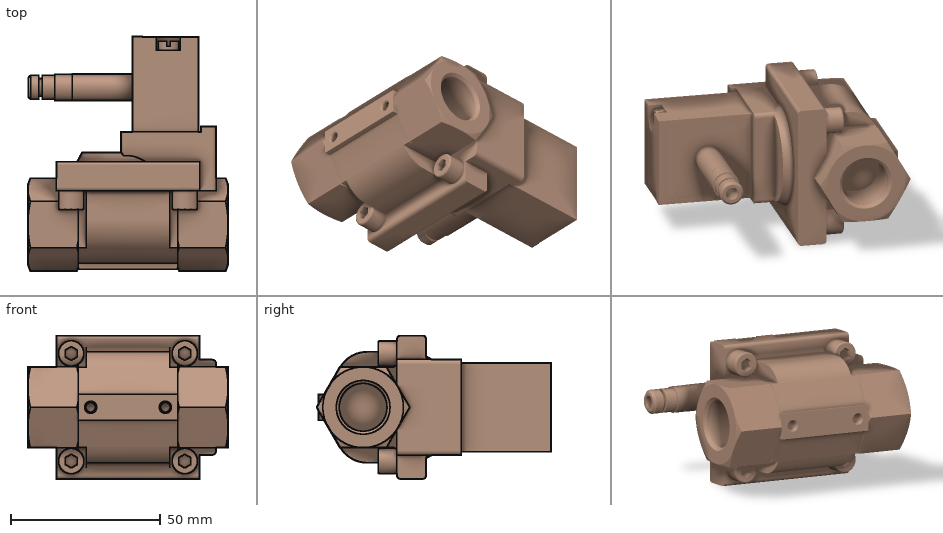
import cadquery as cq
import math


BODY_LENGTH = 67.0
HEX_FLATS = 27.0
HEX_INNER_X = 16.6
HEX_CHAMFER = 0.85
HEX_INNER_CHAMFER = 0.5
MIDDLE_FLATS = 26.7
BORE_DIAMETER = 16.0
BORE_MOUTH_DIAMETER = 18.0
BORE_DEPTH = 15.0

NECK_FILLET = 1.8
SADDLE_HALF_LENGTH = 14.05
SADDLE_RADIUS = 10.5
SADDLE_FILLET = 1.4

RIB_WIDTH = 8.7
RIB_FACE_Y = -15.0
RIB_HOLE_SPACING = 25.0
RIB_HOLE_DIAMETER = 3.24
RIB_HOLE_MOUTH_DIAMETER = 4.0
RIB_HOLE_DEPTH = 5.0
DRILL_POINT_ANGLE = 118.0

PLATE_SIZE = 48.0
PLATE_BOTTOM_Y = 11.3
PLATE_TOP_Y = 21.1
PLATE_FILLET = 1.2

SCREW_X = 19.0
SCREW_Z = 18.0
SCREW_HEAD_DIAMETER = 8.5
SCREW_HEAD_END_Y = 5.0
SCREW_HEAD_FILLET = 0.6
SCREW_SOCKET_FLATS = 4.0
SCREW_SOCKET_DEPTH = 3.0

DOME_TOP_Y = 24.2
DOME_BASE_RADIUS = 17.0
DOME_TOP_RADIUS = 15.4

BASE_LEFT_X = -2.4
BASE_RIGHT_X = 29.5
BASE_WIDTH = 32.0
BASE_TOP_Y = 31.0
BASE_FILLET = 1.5
LIP_LEFT_X = 24.4
LIP_TOP_Y = 32.9

CONNECTOR_LEFT_X = 1.5
CONNECTOR_RIGHT_X = 23.6
CONNECTOR_TOP_Y = 62.8
CONNECTOR_WIDTH = 29.8
END_PLATE_TOP_Y = 63.0
END_PLATE_THICKNESS = 3.3
PANEL_MARGIN = 1.4
PANEL_DEPTH = 0.1

NOTCH_X = 13.5
NOTCH_Z = 11.0
NOTCH_WIDTH = 8.0
NOTCH_DEPTH = 4.5
CAP_SCREW_DIAMETER = 6.8
CAP_SCREW_HEIGHT = 3.1
CAP_SCREW_SLOT_WIDTH = 1.2
CAP_SCREW_SLOT_DEPTH = 1.7

CABLE_Y = 45.95
CABLE_DIAMETER = 9.0
SLEEVE_RIGHT_X = -18.6
SLEEVE_LEFT_X = -24.5
SLEEVE_DIAMETER = 8.9
TIP_DIAMETER = 8.1
GROOVE_RIGHT_X = -28.7
GROOVE_LEFT_X = -29.8
GROOVE_DIAMETER = 6.0
TIP_LEFT_X = -33.4
TIP_CHAMFER = 0.8
CABLE_HOLE_DIAMETER = 4.3
CABLE_HOLE_DEPTH = 8.0

PLATE_MIDDLE_Y = (PLATE_BOTTOM_Y + PLATE_TOP_Y) / 2
MIDDLE_HALF_FLATS = MIDDLE_FLATS / 2
HEX_SIDES = 6
HEX_HALF_ANGLE = math.pi / HEX_SIDES
COS_45 = math.cos(math.pi / 4)


def block(x_range, y_range, width):
    """Box between two X and two Y values, centred on Z = 0."""
    length = x_range[1] - x_range[0]
    height = y_range[1] - y_range[0]
    return (
        cq.Workplane("XY")
        .box(length, height, width)
        .translate((x_range[0] + length / 2, y_range[0] + height / 2, 0))
    )


def along_y(x, y, z):
    """Sketch plane at a point, facing +Y."""
    return cq.Workplane(cq.Plane(origin=(x, y, z), xDir=(1, 0, 0), normal=(0, 1, 0)))


def pointed_hole(point, direction, diameter, depth):
    """Drilled hole with a conical bottom."""
    radius = diameter / 2
    cone_height = radius / math.tan(math.radians(DRILL_POINT_ANGLE / 2))
    start = cq.Vector(*point)
    axis = cq.Vector(*direction)
    shaft = cq.Solid.makeCylinder(radius, depth, start, axis)
    tip = cq.Solid.makeCone(radius, 0, cone_height, start + axis * depth, axis)
    return cq.Workplane(shaft.fuse(tip))


def hexagon(flats, x_start, x_end):
    """Hexagonal bar along X with corners on +Y and -Y."""
    corner_diameter = flats / math.cos(HEX_HALF_ANGLE)
    return (
        cq.Workplane("YZ", origin=(x_start, 0, 0))
        .polygon(HEX_SIDES, corner_diameter)
        .extrude(x_end - x_start)
    )


def hexagon_end():
    """End hexagon on the +X side, its corners turned off conically at both ends."""
    outer_x = BODY_LENGTH / 2
    flat_radius = HEX_FLATS / 2
    corner_radius = flat_radius / math.cos(HEX_HALF_ANGLE)
    chamfer_slope = (corner_radius - flat_radius) / HEX_CHAMFER
    inner_radius = corner_radius - HEX_INNER_CHAMFER * chamfer_slope
    envelope = (
        cq.Workplane("XY")
        .moveTo(HEX_INNER_X, 0)
        .lineTo(HEX_INNER_X, inner_radius)
        .lineTo(HEX_INNER_X + HEX_INNER_CHAMFER, corner_radius)
        .lineTo(outer_x - HEX_CHAMFER, corner_radius)
        .lineTo(outer_x, flat_radius)
        .lineTo(outer_x, 0)
        .close()
        .revolve(360, (0, 0, 0), (1, 0, 0))
    )
    return hexagon(HEX_FLATS, HEX_INNER_X, outer_x).intersect(envelope)


def port():
    """Blind bore with a 45 degree mouth on the +X side."""
    outer_x = BODY_LENGTH / 2
    bore_radius = BORE_DIAMETER / 2
    mouth_radius = BORE_MOUTH_DIAMETER / 2
    return (
        cq.Workplane("XY")
        .moveTo(outer_x, 0)
        .lineTo(outer_x, mouth_radius)
        .lineTo(outer_x - (mouth_radius - bore_radius), bore_radius)
        .lineTo(outer_x - BORE_DEPTH, bore_radius)
        .lineTo(outer_x - BORE_DEPTH, 0)
        .close()
        .revolve(360, (0, 0, 0), (1, 0, 0))
    )


def flared_top(profile, half_height, fillet):
    """Finish a profile: flare out into the plate, cross it and come back down the other side."""
    flare = fillet * (1 - COS_45)
    fillet_start_y = PLATE_BOTTOM_Y - fillet
    return (
        profile
        .lineTo(fillet_start_y, half_height)
        .threePointArc(
            (fillet_start_y + fillet * COS_45, half_height + flare),
            (PLATE_BOTTOM_Y, half_height + fillet),
        )
        .lineTo(PLATE_MIDDLE_Y, half_height + fillet)
        .lineTo(PLATE_MIDDLE_Y, -half_height - fillet)
        .lineTo(PLATE_BOTTOM_Y, -half_height - fillet)
        .threePointArc(
            (fillet_start_y + fillet * COS_45, -half_height - flare),
            (fillet_start_y, -half_height),
        )
    )


def neck():
    """Straight-sided web joining the middle hexagon to the plate."""
    profile = cq.Workplane("YZ", origin=(-HEX_INNER_X, 0, 0))
    profile = profile.moveTo(0, -MIDDLE_HALF_FLATS).lineTo(0, MIDDLE_HALF_FLATS)
    return flared_top(profile, MIDDLE_HALF_FLATS, NECK_FILLET).close().extrude(2 * HEX_INNER_X)


def saddle():
    """Wider round-shouldered web, its arcs tangent to the lower faces of the middle hexagon."""
    corner_y = -MIDDLE_HALF_FLATS * math.tan(HEX_HALF_ANGLE)
    arc_y = corner_y + SADDLE_RADIUS * math.cos(HEX_HALF_ANGLE)
    arc_z = MIDDLE_HALF_FLATS - SADDLE_RADIUS * math.sin(HEX_HALF_ANGLE)
    half_height = arc_z + SADDLE_RADIUS
    arc_mid_y = arc_y - SADDLE_RADIUS * math.sin(HEX_HALF_ANGLE)
    arc_mid_z = arc_z + SADDLE_RADIUS * math.cos(HEX_HALF_ANGLE)
    profile = (
        cq.Workplane("YZ", origin=(-SADDLE_HALF_LENGTH, 0, 0))
        .moveTo(corner_y, -MIDDLE_HALF_FLATS)
        .lineTo(corner_y, MIDDLE_HALF_FLATS)
        .threePointArc((arc_mid_y, arc_mid_z), (arc_y, half_height))
    )
    profile = flared_top(profile, half_height, SADDLE_FILLET)
    return (
        profile
        .lineTo(arc_y, -half_height)
        .threePointArc((arc_mid_y, -arc_mid_z), (corner_y, -MIDDLE_HALF_FLATS))
        .close()
        .extrude(2 * SADDLE_HALF_LENGTH)
    )


def rib_hole(x):
    """Countersunk pilot hole in the mounting rib."""
    sink_depth = (RIB_HOLE_MOUTH_DIAMETER - RIB_HOLE_DIAMETER) / 2
    sink = cq.Solid.makeCone(
        RIB_HOLE_MOUTH_DIAMETER / 2,
        RIB_HOLE_DIAMETER / 2,
        sink_depth,
        cq.Vector(x, RIB_FACE_Y, 0),
        cq.Vector(0, 1, 0),
    )
    return pointed_hole((x, RIB_FACE_Y, 0), (0, 1, 0), RIB_HOLE_DIAMETER, RIB_HOLE_DEPTH).union(sink)


def valve_body():
    """Hexagon ends, middle hexagon with its webs, and the flat rib with its two holes."""
    end = hexagon_end()
    middle = hexagon(MIDDLE_FLATS, -HEX_INNER_X, HEX_INNER_X)
    below_rib = block((-HEX_INNER_X, HEX_INNER_X), (-HEX_FLATS, RIB_FACE_Y), HEX_FLATS)
    body = middle.cut(below_rib).union(end).union(end.mirror("YZ")).union(neck()).union(saddle())
    body = body.union(block((-HEX_INNER_X, HEX_INNER_X), (RIB_FACE_Y, 0), RIB_WIDTH))
    for x in (-RIB_HOLE_SPACING / 2, RIB_HOLE_SPACING / 2):
        body = body.cut(rib_hole(x))
    return body


def bonnet_plate():
    """Square plate rounded along its X edges."""
    half = PLATE_SIZE / 2
    plate = block((-half, half), (PLATE_BOTTOM_Y, PLATE_TOP_Y), PLATE_SIZE)
    return plate.edges("|X").fillet(PLATE_FILLET)


def dome():
    """Low conical boss on top of the plate."""
    cone = cq.Solid.makeCone(
        DOME_BASE_RADIUS,
        DOME_TOP_RADIUS,
        DOME_TOP_Y - PLATE_TOP_Y,
        cq.Vector(0, PLATE_TOP_Y, 0),
        cq.Vector(0, 1, 0),
    )
    return cq.Workplane(cone)


def socket_screw(x, z):
    """Socket head under the plate, sunk a little into it so the two join."""
    head = along_y(x, SCREW_HEAD_END_Y, z).circle(SCREW_HEAD_DIAMETER / 2)
    head = head.extrude(PLATE_MIDDLE_Y - SCREW_HEAD_END_Y)
    head = head.faces("<Y").edges().fillet(SCREW_HEAD_FILLET)
    socket = (
        along_y(x, SCREW_HEAD_END_Y, z)
        .transformed(rotate=(0, 0, 90))
        .polygon(HEX_SIDES, SCREW_SOCKET_FLATS / math.cos(HEX_HALF_ANGLE))
        .extrude(SCREW_SOCKET_DEPTH)
    )
    return head.cut(socket)


def coil_base():
    """Coil block beside the dome, with a raised lip along its +X side."""
    base = block((BASE_LEFT_X, BASE_RIGHT_X), (PLATE_BOTTOM_Y, LIP_TOP_Y), BASE_WIDTH)
    base = base.edges("|Y").fillet(BASE_FILLET)
    return base.cut(block((BASE_LEFT_X, LIP_LEFT_X), (BASE_TOP_Y, LIP_TOP_Y), BASE_WIDTH))


def cap_screw_notch():
    """U-shaped notch open to the top and to +Z, with the slotted screw head left standing in it."""
    floor_y = CONNECTOR_TOP_Y - NOTCH_DEPTH
    height = END_PLATE_TOP_Y - floor_y
    open_length = CONNECTOR_WIDTH / 2 - NOTCH_Z
    notch = along_y(NOTCH_X, floor_y, NOTCH_Z).circle(NOTCH_WIDTH / 2).extrude(height)
    mouth = (
        cq.Workplane("XY")
        .box(NOTCH_WIDTH, height, open_length)
        .translate((NOTCH_X, floor_y + height / 2, NOTCH_Z + open_length / 2))
    )
    head = along_y(NOTCH_X, floor_y, NOTCH_Z).circle(CAP_SCREW_DIAMETER / 2).extrude(CAP_SCREW_HEIGHT)
    slot = (
        along_y(NOTCH_X, floor_y + CAP_SCREW_HEIGHT - CAP_SCREW_SLOT_DEPTH, NOTCH_Z)
        .rect(CAP_SCREW_SLOT_WIDTH, CAP_SCREW_DIAMETER)
        .extrude(CAP_SCREW_SLOT_DEPTH)
    )
    return notch.union(mouth).cut(head.cut(slot))


def connector():
    """Plug housing with a slightly taller end plate and a shallow panel on its -X face."""
    housing = block((CONNECTOR_LEFT_X, CONNECTOR_RIGHT_X), (BASE_TOP_Y, CONNECTOR_TOP_Y), CONNECTOR_WIDTH)
    end_plate = block(
        (CONNECTOR_LEFT_X, CONNECTOR_LEFT_X + END_PLATE_THICKNESS),
        (BASE_TOP_Y, END_PLATE_TOP_Y),
        CONNECTOR_WIDTH,
    )
    panel = block(
        (CONNECTOR_LEFT_X, CONNECTOR_LEFT_X + PANEL_DEPTH),
        (BASE_TOP_Y + PANEL_MARGIN, END_PLATE_TOP_Y - PANEL_MARGIN),
        CONNECTOR_WIDTH - 2 * PANEL_MARGIN,
    )
    return housing.union(end_plate).cut(panel).cut(cap_screw_notch())


def cable_outlet():
    """Stepped round outlet along X with a grooved tip and a drilled end."""
    tip_radius = TIP_DIAMETER / 2
    outlet = (
        cq.Workplane("XY", origin=(0, CABLE_Y, 0))
        .moveTo(CONNECTOR_LEFT_X + END_PLATE_THICKNESS, 0)
        .lineTo(CONNECTOR_LEFT_X + END_PLATE_THICKNESS, CABLE_DIAMETER / 2)
        .lineTo(SLEEVE_RIGHT_X, CABLE_DIAMETER / 2)
        .lineTo(SLEEVE_RIGHT_X, SLEEVE_DIAMETER / 2)
        .lineTo(SLEEVE_LEFT_X, SLEEVE_DIAMETER / 2)
        .lineTo(SLEEVE_LEFT_X, tip_radius)
        .lineTo(GROOVE_RIGHT_X, tip_radius)
        .lineTo(GROOVE_RIGHT_X, GROOVE_DIAMETER / 2)
        .lineTo(GROOVE_LEFT_X, GROOVE_DIAMETER / 2)
        .lineTo(GROOVE_LEFT_X, tip_radius)
        .lineTo(TIP_LEFT_X + TIP_CHAMFER, tip_radius)
        .lineTo(TIP_LEFT_X, tip_radius - TIP_CHAMFER)
        .lineTo(TIP_LEFT_X, 0)
        .close()
        .revolve(360, (0, 0, 0), (1, 0, 0))
    )
    hole = pointed_hole((TIP_LEFT_X, CABLE_Y, 0), (1, 0, 0), CABLE_HOLE_DIAMETER, CABLE_HOLE_DEPTH)
    return outlet.cut(hole)


result = valve_body().union(bonnet_plate()).union(dome())
for screw_x in (-SCREW_X, SCREW_X):
    for screw_z in (-SCREW_Z, SCREW_Z):
        result = result.union(socket_screw(screw_x, screw_z))
result = result.union(coil_base()).union(connector()).union(cable_outlet())
result = result.cut(port()).cut(port().mirror("YZ"))